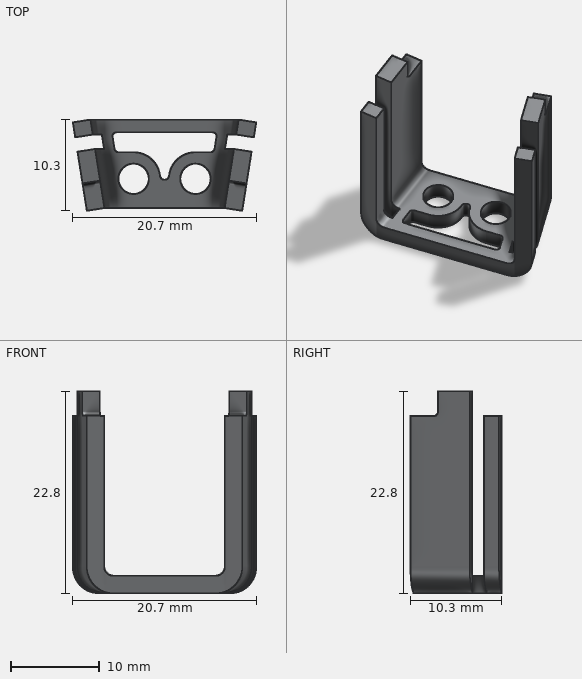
import cadquery as cq
import math

height = 22.8
base_depth = 9.99
front_half_width = 5.77
thickness = 2.0
bend_radius = 1.0
fold_angle = math.radians(9)

front_leg_depth = 6.68
rear_leg_start = 8.28
shoulder_height = 20.0
shoulder_length = 3.15
shoulder_fillet = 0.5

hole_diameter = 3.4
hole_offset = 3.49
hole_y = 3.3
lobe_radius = 3.0
notch_radius = 0.5
window_back = 8.53
window_side_margin = 1.19
window_fillet = 0.4

sine = math.sin(fold_angle)
cosine = math.cos(fold_angle)
outer_radius = bend_radius + thickness
window_front = hole_y + lobe_radius


def fold_x(y):
    """X of the right-hand fold line at a given Y."""
    return front_half_width + y * math.tan(fold_angle)


def leg_prism(y_front, y_back, leg_height):
    """Upright prism over a leg's plan: ends parallel to Y = 0 in the bend, square to the fold in the wall."""
    inner_shift = bend_radius / cosine
    wall_front = (fold_x(y_front) + inner_shift, y_front)
    wall_back = (fold_x(y_back) + inner_shift, y_back)
    reach = (thickness * cosine, -thickness * sine)
    return (
        cq.Workplane("XY")
        .polyline([
            (fold_x(y_front), y_front),
            wall_front,
            (wall_front[0] + reach[0], wall_front[1] + reach[1]),
            (wall_back[0] + reach[0], wall_back[1] + reach[1]),
            wall_back,
            (fold_x(y_back), y_back),
        ])
        .close()
        .extrude(leg_height)
    )


def fold_plane():
    """Plane square to the right-hand fold line: local X points outward, local Y points up."""
    return cq.Plane(
        origin=(front_half_width, 0, 0),
        xDir=(cosine, -sine, 0),
        normal=(-sine, -cosine, 0),
    )


def folded_strip():
    """Bend and upright wall, longer than the base, that the legs are cut from."""
    diagonal = math.sqrt(0.5)
    return (
        cq.Workplane(fold_plane())
        .moveTo(0, 0)
        .threePointArc(
            (outer_radius * diagonal, outer_radius - outer_radius * diagonal),
            (outer_radius, outer_radius),
        )
        .lineTo(outer_radius, height)
        .lineTo(bend_radius, height)
        .lineTo(bend_radius, outer_radius)
        .threePointArc(
            (bend_radius * diagonal, outer_radius - bend_radius * diagonal),
            (0, thickness),
        )
        .close()
        .extrude(2 * base_depth, both=True)
    )


def shoulder_cut():
    """Step at the top front of the front leg, rounded in its inner corner."""
    wall_front_end = bend_radius * math.tan(fold_angle)
    step = wall_front_end + shoulder_length
    cutter = (
        cq.Workplane("XY")
        .box(outer_radius, 2 * step, height - shoulder_height, centered=(False, True, False))
        .edges(">Y and <Z")
        .fillet(shoulder_fillet)
    )
    return (
        cutter
        .rotate((0, 0, 0), (0, 0, 1), -math.degrees(fold_angle))
        .translate((front_half_width, 0, shoulder_height))
    )


def right_legs():
    """Tall shouldered front leg and narrow rear leg."""
    strip = folded_strip()
    front_leg = strip.intersect(leg_prism(0, front_leg_depth, height)).cut(shoulder_cut())
    rear_leg = strip.intersect(leg_prism(rear_leg_start, base_depth, shoulder_height))
    return front_leg, rear_leg


def base_plate():
    """Flat trapezoid between the two fold lines."""
    back_half_width = fold_x(base_depth)
    return (
        cq.Workplane("XY")
        .polyline([
            (-front_half_width, 0),
            (front_half_width, 0),
            (back_half_width, base_depth),
            (-back_half_width, base_depth),
        ])
        .close()
        .extrude(thickness)
    )


def window():
    """Opening with sides parallel to the folds."""
    margin = window_side_margin / cosine
    front_half = fold_x(window_front) - margin
    back_half = fold_x(window_back) - margin
    return (
        cq.Workplane("XY")
        .polyline([
            (-front_half, window_front),
            (front_half, window_front),
            (back_half, window_back),
            (-back_half, window_back),
        ])
        .close()
        .extrude(thickness)
        .edges("|Z")
        .fillet(window_fillet)
    )


def notch():
    """Pocket running from the window down between the lobes to a round bottom tangent to both."""
    rise = math.sqrt((lobe_radius + notch_radius) ** 2 - hole_offset ** 2)
    notch_y = hole_y + rise
    contact_angle = math.atan2(rise, hole_offset)
    middle_angle = (contact_angle + math.pi / 2) / 2

    def lobe_point(angle):
        """Distance from the centreline and Y of a point on the lobe's edge."""
        return (
            hole_offset - lobe_radius * math.cos(angle),
            hole_y + lobe_radius * math.sin(angle),
        )

    contact_x, contact_y = lobe_point(contact_angle)
    middle_x, middle_y = lobe_point(middle_angle)
    return (
        cq.Workplane("XY")
        .moveTo(-hole_offset, window_front)
        .threePointArc((-middle_x, middle_y), (-contact_x, contact_y))
        .threePointArc((0, notch_y - notch_radius), (contact_x, contact_y))
        .threePointArc((middle_x, middle_y), (hole_offset, window_front))
        .close()
        .extrude(thickness)
    )


holes = (
    cq.Workplane("XY")
    .pushPoints([(-hole_offset, hole_y), (hole_offset, hole_y)])
    .circle(hole_diameter / 2)
    .extrude(thickness)
)

result = base_plate().cut(window()).cut(notch()).cut(holes)
for leg in right_legs():
    result = result.union(leg).union(leg.mirror("YZ"))